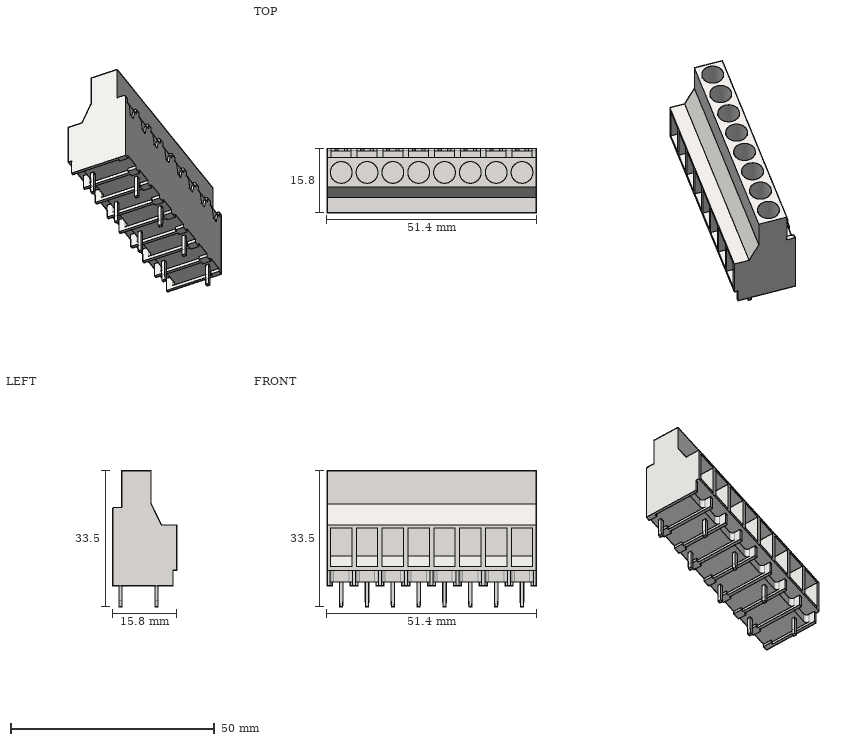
import cadquery as cq


length = 51.4
cell_count = 8
pitch_margin = 0.6
pitch = (length - pitch_margin) / cell_count
first_cell_x = 3.45
cell_centers = [first_cell_x + i * pitch for i in range(cell_count)]

depth = 15.85
height = 28.35
ledge_z = 19.35
slope_top_z = 20.2
shelf_z = 15.0
shelf_depth = 3.8
tower_front_y = 6.3
back_ledge_width = 2.25
tower_back_y = depth - back_ledge_width
tower_middle_y = (tower_front_y + tower_back_y) / 2
front_step_z = 3.85
front_step_depth = 0.9
back_edge_radius = 0.45

screw_hole_diameter = 5.35
screw_hole_depth = height - ledge_z

entry_width = 5.25
entry_floor_z = 4.75
entry_top_z = 14.2
entry_floor_depth = 2.6
entry_ramp = 2.6

bay_width = 5.6
bay_depth = 2.6
bay_back_y = front_step_depth + bay_depth
bay_corner_radius = 0.9
back_channel_width = 4.35
channel_roof_z = 0.9

notch_width = 4.95
notch_shelf_drop = 0.5
notch_strip_depth = 0.6
notch_strip_drop = 1.55
trough_top_width = 3.1
trough_floor_width = 1.55
trough_depth = 2.85

pin_width = 0.9
pin_thickness = 0.8
pin_tip_width = 0.7
pin_taper_length = 1.55
pin_bottom_z = -5.15
pin_front_y = 5.05
pin_back_y = 13.9


def box(center_x, width, y_min, y_max, z_min, z_max):
    """Box centred on center_x, between the given Y and Z limits."""
    size = (width, y_max - y_min, z_max - z_min)
    corner = (center_x - width / 2, y_min, z_min)
    return cq.Workplane("XY").box(*size, centered=False).translate(corner)


def housing_blank():
    """Solid housing: the side profile extruded along the row."""
    return (
        cq.Workplane("YZ")
        .moveTo(front_step_depth, 0)
        .lineTo(depth, 0)
        .lineTo(depth, ledge_z - back_edge_radius)
        .radiusArc((depth - back_edge_radius, ledge_z), -back_edge_radius)
        .lineTo(tower_back_y, ledge_z)
        .lineTo(tower_back_y, height)
        .lineTo(tower_front_y, height)
        .lineTo(tower_front_y, slope_top_z)
        .lineTo(shelf_depth, shelf_z)
        .lineTo(0, shelf_z)
        .lineTo(0, front_step_z)
        .lineTo(front_step_depth, front_step_z)
        .close()
        .extrude(length)
    )


def screw_hole(center_x):
    """Blind round hole down from the top of the tower."""
    return (
        cq.Workplane("XY", origin=(center_x, tower_middle_y, height - screw_hole_depth))
        .circle(screw_hole_diameter / 2)
        .extrude(screw_hole_depth)
    )


def wire_entry(center_x):
    """Front pocket with a flat floor, a 45 degree ramp and an upright back."""
    back_y = entry_floor_depth + entry_ramp
    return (
        cq.Workplane("YZ", origin=(center_x, 0, 0))
        .moveTo(0, entry_floor_z)
        .lineTo(entry_floor_depth, entry_floor_z)
        .lineTo(back_y, entry_floor_z + entry_ramp)
        .lineTo(back_y, entry_top_z)
        .lineTo(0, entry_top_z)
        .close()
        .extrude(entry_width / 2, both=True)
    )


def underside_opening(center_x):
    """Front bay with rounded back corners, and a shallow channel that narrows at the back."""
    bay = box(center_x, bay_width, 0, bay_back_y, 0, front_step_z)
    bay = bay.edges("|Z and >Y").fillet(bay_corner_radius)
    wide_channel = box(center_x, bay_width, 0, tower_back_y, 0, channel_roof_z)
    back_channel = box(center_x, back_channel_width, tower_back_y, depth, 0, channel_roof_z)
    return bay.union(wide_channel).union(back_channel)


def back_notch(center_x):
    """Lowered ledge, a lower strip along the back face, and a trough in the strip."""
    strip_y = depth - notch_strip_depth
    strip_z = ledge_z - notch_strip_drop
    shelf = box(center_x, notch_width, tower_back_y, depth, ledge_z - notch_shelf_drop, ledge_z)
    strip = box(center_x, notch_width, strip_y, depth, strip_z, ledge_z)
    trough = (
        cq.Workplane("XZ", origin=(center_x, depth, strip_z))
        .moveTo(-trough_top_width / 2, 0)
        .lineTo(-trough_floor_width / 2, -trough_depth)
        .lineTo(trough_floor_width / 2, -trough_depth)
        .lineTo(trough_top_width / 2, 0)
        .close()
        .extrude(notch_strip_depth)
    )
    return shelf.union(strip).union(trough)


def make_housing():
    """Housing with every cell cut into it."""
    body = housing_blank()
    for center_x in cell_centers:
        for feature in (screw_hole, wire_entry, underside_opening, back_notch):
            body = body.cut(feature(center_x))
    return body


def make_pin(center_x, center_y):
    """Flat pin hanging from the channel roof, narrowing in X towards its tip."""
    taper_z = pin_bottom_z + pin_taper_length
    return (
        cq.Workplane("XZ", origin=(center_x, center_y, 0))
        .moveTo(-pin_width / 2, channel_roof_z)
        .lineTo(-pin_width / 2, taper_z)
        .lineTo(-pin_tip_width / 2, pin_bottom_z)
        .lineTo(pin_tip_width / 2, pin_bottom_z)
        .lineTo(pin_width / 2, taper_z)
        .lineTo(pin_width / 2, channel_roof_z)
        .close()
        .extrude(pin_thickness / 2, both=True)
    )


housing = make_housing()

pins = []
for i, center_x in enumerate(cell_centers):
    center_y = pin_back_y if i % 2 == 0 else pin_front_y
    pins.append(make_pin(center_x, center_y))

result = cq.Compound.makeCompound([housing.val(), *[pin.val() for pin in pins]])